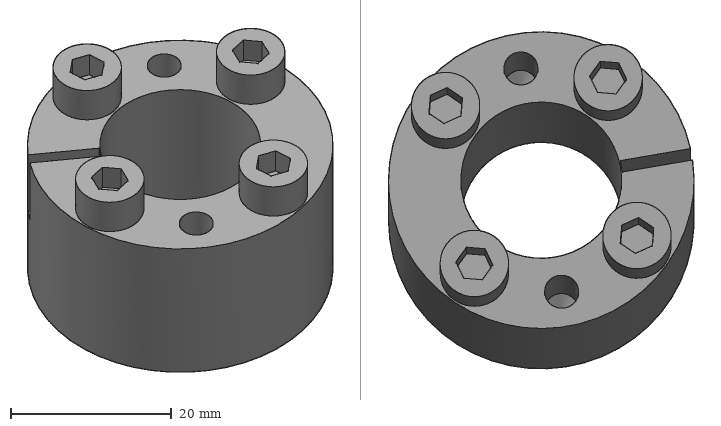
import cadquery as cq
import math

outer_diameter = 38.0
bore_diameter = 20.0
ring_height = 21.0

screw_count = 4
pitch_radius = 14.5
head_diameter = 8.5
head_height = 4.98
hex_across_flats = 4.0
hex_depth = 3.42

drill_diameter = 4.2
drill_depth = 9.5
drill_point_angle = 118.0
drill_angles = (135, 315)

slot_width = 1.5
slot_depth = 9.58
slot_angle = 225
slot_web = 0.1


def at_polar(shape, angle):
    """Move a shape built on the Z axis out to the pitch circle."""
    return shape.translate((pitch_radius, 0, 0)).rotate((0, 0, 0), (0, 0, 1), angle)


def make_ring():
    return (
        cq.Workplane("XY")
        .circle(outer_diameter / 2)
        .circle(bore_diameter / 2)
        .extrude(ring_height)
    )


def make_slot():
    inner_end = bore_diameter / 2 + slot_web
    return (
        cq.Workplane("XY")
        .box(outer_diameter / 2, slot_width, slot_depth, centered=(False, True, False))
        .translate((inner_end, 0, ring_height - slot_depth))
        .rotate((0, 0, 0), (0, 0, 1), slot_angle)
    )


def make_drilled_hole():
    """Cylinder with a conical tip, as a revolved half profile."""
    radius = drill_diameter / 2
    tip_length = radius / math.tan(math.radians(drill_point_angle / 2))
    floor_z = ring_height - drill_depth
    return (
        cq.Workplane("XZ")
        .moveTo(0, floor_z - tip_length)
        .lineTo(radius, floor_z)
        .lineTo(radius, ring_height)
        .lineTo(0, ring_height)
        .close()
        .revolve(360, (0, 0, 0), (0, 1, 0))
    )


def make_screw_head():
    """Cylindrical head with a hexagonal socket, one corner pointing along X."""
    hex_across_corners = hex_across_flats / math.cos(math.pi / 6)
    return (
        cq.Workplane("XY", origin=(0, 0, ring_height))
        .circle(head_diameter / 2)
        .extrude(head_height)
        .faces(">Z")
        .workplane()
        .polygon(6, hex_across_corners)
        .cutBlind(-hex_depth)
    )


result = make_ring().cut(make_slot())
for angle in drill_angles:
    result = result.cut(at_polar(make_drilled_hole(), angle))
for index in range(screw_count):
    result = result.union(at_polar(make_screw_head(), index * 360 / screw_count))